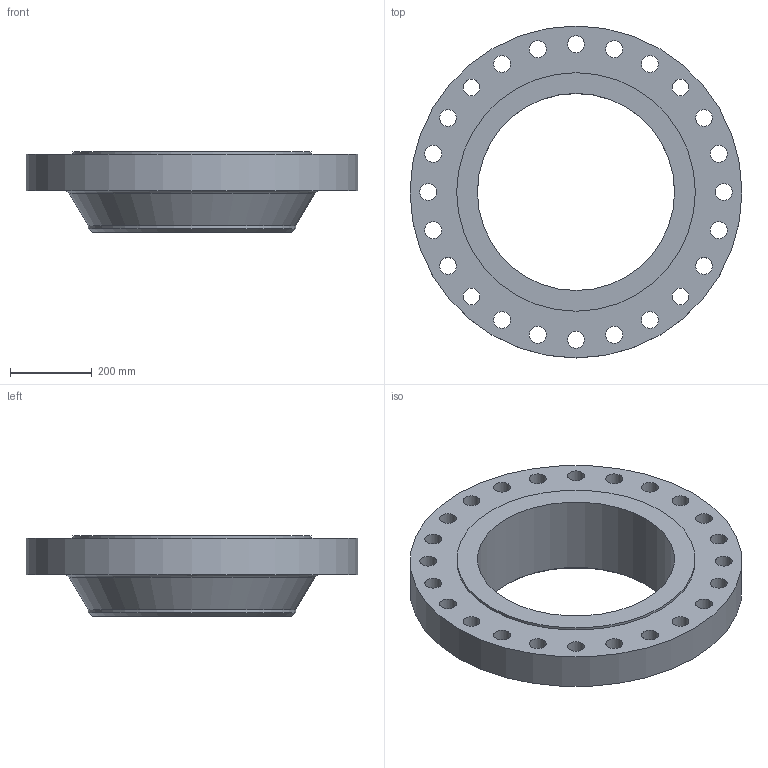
import cadquery as cq
import math


flange_diameter = 812.8
flange_thickness = 88.9
raised_face_diameter = 584.2
raised_face_height = 6.35

overall_height = 196.85
hub_diameter = 609.6
pipe_diameter = 508.0
bore_diameter = 482.6
root_fillet_radius = 12.7
weld_collar_height = 7.5
weld_land_width = 1.6
weld_bevel_angle = 37.5

bolt_count = 24
bolt_hole_diameter = 41.275
bolt_circle_diameter = 723.9

flange_top = -raised_face_height
flange_bottom = flange_top - flange_thickness
weld_end = -overall_height

bore_radius = bore_diameter / 2
pipe_radius = pipe_diameter / 2
land_radius = bore_radius + weld_land_width
bevel_height = (pipe_radius - land_radius) * math.tan(math.radians(weld_bevel_angle))
collar_bottom = weld_end + bevel_height
collar_top = collar_bottom + weld_collar_height


def make_hub():
    """Solid tapered hub with its weld collar and bevel, meeting the underside of the plate."""
    profile = (
        cq.Workplane("XZ")
        .moveTo(0, flange_bottom)
        .lineTo(-hub_diameter / 2, flange_bottom)
        .lineTo(-pipe_radius, collar_top)
        .lineTo(-pipe_radius, collar_bottom)
        .lineTo(-land_radius, weld_end)
        .lineTo(0, weld_end)
        .close()
    )
    return profile.revolve(360, (0, 0), (0, 1))


def make_plate():
    """Flange plate with the raised gasket face on top."""
    profile = (
        cq.Workplane("XZ")
        .moveTo(0, flange_bottom)
        .lineTo(-flange_diameter / 2, flange_bottom)
        .lineTo(-flange_diameter / 2, flange_top)
        .lineTo(-raised_face_diameter / 2, flange_top)
        .lineTo(-raised_face_diameter / 2, 0)
        .lineTo(0, 0)
        .close()
    )
    return profile.revolve(360, (0, 0), (0, 1))


def fillet_hub_root(body):
    """Round the concave corner where the hub meets the underside of the plate."""
    underside_point = (-(hub_diameter + flange_diameter) / 4, 0, flange_bottom)
    underside = body.faces(cq.selectors.NearestToPointSelector(underside_point))
    smallest_circle = cq.selectors.RadiusNthSelector(0)
    return underside.edges(smallest_circle).fillet(root_fillet_radius)


def cut_bore(body):
    """Open the straight bore through the full height."""
    bore = cq.Workplane("XY").circle(bore_radius).extrude(-overall_height)
    return body.cut(bore)


def cut_bolt_holes(body):
    """Drill the bolt circle through the plate."""
    holes = (
        cq.Workplane("XY")
        .workplane(offset=flange_top)
        .polarArray(bolt_circle_diameter / 2, 0, 360, bolt_count, rotate=False)
        .circle(bolt_hole_diameter / 2)
        .extrude(-flange_thickness)
    )
    return body.cut(holes)


blank = make_plate().union(make_hub())
result = cut_bolt_holes(cut_bore(fillet_hub_root(blank)))